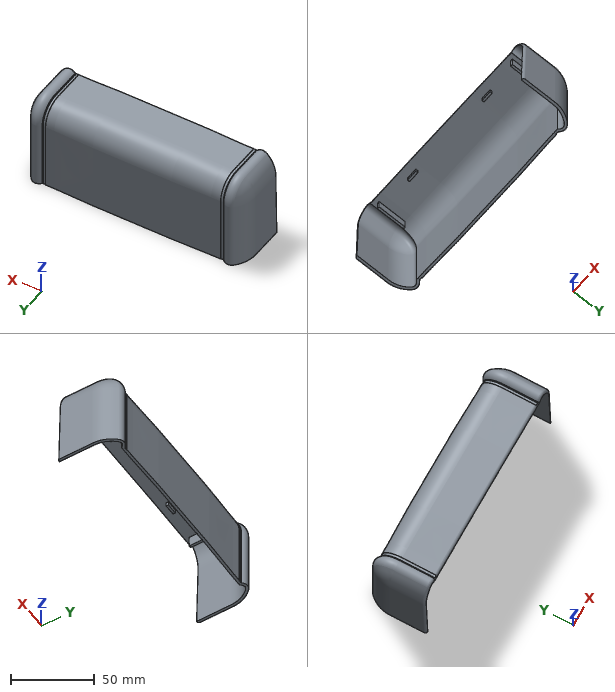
import cadquery as cq
import math

length = 155.1
depth = 41.1
height = 62.4
half = length / 2

bend_radius = 16.1
bend_y = -bend_radius
bend_z = height - bend_radius

wall = 1.9
side_radius = 21.0
lobe_x = 68.1
lobe_angle = math.radians(45)
land_drop = 1.9
land_x = 55.4
centre_drop = 1.2
centre_x = 27.8

rim_lean = 1.4
rim_fillet = 1.5

groove_inner_x = 61.9
groove_outer_x = 63.6
groove_depth = 0.3

rib_x = 61.5
rib_thickness = 1.5
rib_bottom = 50.9
rib_setback = 3.1
tab_x = 34.3
tab_width = 7.6
tab_bottom = 56.3
tab_thickness = 1.5
tab_setback = 6.2

overrun = 7.8


def half_section(inset):
    """Right half of the cross-section in XY, moved inward by inset and closed along the bend axis."""
    side_x = half - side_radius
    run = lobe_x - side_x
    lobe_radius = (side_radius**2 - run**2 - bend_radius**2) / (2 * (side_radius - bend_radius))
    lobe_y = -lobe_radius
    contact = math.atan2(lobe_y - bend_y, run)
    flank_start = math.pi / 2 + lobe_angle

    def on_side(angle):
        radius = side_radius - inset
        return side_x + radius * math.cos(angle), bend_y + radius * math.sin(angle)

    def on_lobe(angle):
        radius = lobe_radius - inset
        return lobe_x + radius * math.cos(angle), lobe_y + radius * math.sin(angle)

    flank_x, flank_y = on_lobe(flank_start)
    land_y = -land_drop - inset
    centre_y = -centre_drop - inset
    land_end = (flank_x - (flank_y - land_y) / math.tan(lobe_angle), land_y)

    return (
        cq.Workplane("XY")
        .moveTo(0, bend_y)
        .lineTo(half - inset, bend_y)
        .threePointArc(on_side(contact / 2), on_side(contact))
        .threePointArc(on_lobe((contact + flank_start) / 2), (flank_x, flank_y))
        .lineTo(*land_end)
        .lineTo(land_x, land_y)
        .spline([(centre_x, centre_y)], tangents=[(-1, 0), (-1, 0)], includeCurrent=True)
        .lineTo(0, centre_y)
        .close()
    )


def groove_section():
    """Trapezoid cut into the flat land beside the right lobe."""
    mouth_y = -land_drop + groove_depth
    floor_y = -land_drop - groove_depth
    slope_run = mouth_y - floor_y
    return (
        cq.Workplane("XY")
        .polyline([
            (groove_inner_x, mouth_y),
            (groove_inner_x, floor_y),
            (groove_outer_x, floor_y),
            (groove_outer_x + slope_run, mouth_y),
        ])
        .close()
    )


def both_sides(right):
    """Join a right-hand solid with its mirror image."""
    return right.union(right.mirror("YZ"))


def sweep_round_bend(section, start_z, end_y):
    """Carry a section up the rear, round the bend and forward along the top."""
    rear_rise = bend_z - start_z
    top_run = bend_y - end_y
    rear = section().extrude(rear_rise).translate((0, 0, start_z))
    bend = section().revolve(90, (0, bend_y), (1, bend_y)).translate((0, 0, bend_z))
    top = section().extrude(top_run).rotate((0, bend_y, 0), (1, bend_y, 0), 90).translate((0, 0, bend_z))
    return rear.union(bend).union(top)


def filled_body(inset, start_z, end_y):
    """Whole body moved inward by inset, filled down to start_z and forward to end_y."""
    skin = sweep_round_bend(lambda: half_section(inset), start_z, end_y)
    core = (
        cq.Workplane("XY", origin=(0, end_y, start_z))
        .box(half - inset, bend_y - end_y, bend_z - start_z, centered=False)
    )
    return both_sides(skin.union(core))


def front_trim():
    """Block in front of the leaning rim plane."""
    top_z = height + overrun
    lean_per_height = rim_lean / height
    return (
        cq.Workplane("YZ")
        .polyline([
            (-depth, 0),
            (-depth + lean_per_height * top_z, top_z),
            (-depth - overrun, top_z),
            (-depth - overrun, 0),
        ])
        .close()
        .extrude(half + overrun, both=True)
    )


def shell():
    """Thin wall, open below and in front, with its front rim rounded outside."""
    outer = filled_body(0, 0, -depth - overrun).cut(front_trim())
    outer = outer.faces("<Y").edges("not <Z").fillet(rim_fillet)
    cavity = filled_body(wall, -overrun, -depth - overrun)
    return outer.cut(cavity)


def hanging_plate(plate_x, width, bottom, setback, end_y):
    """Mirrored pair of plates rooted in the top wall, running back to end_y from behind the rim."""
    start_y = -depth + rim_lean + setback
    plate_top = height - land_drop - wall / 2
    plate = (
        cq.Workplane("XY", origin=(plate_x, start_y, bottom))
        .box(width, end_y - start_y, plate_top - bottom, centered=(True, False, False))
    )
    return both_sides(plate)


grooves = both_sides(sweep_round_bend(groove_section, -overrun, -depth - overrun))
ribs = hanging_plate(rib_x, rib_thickness, rib_bottom, rib_setback, bend_y)
tab_back = -depth + rim_lean + tab_setback + tab_thickness
tabs = hanging_plate(tab_x, tab_width, tab_bottom, tab_setback, tab_back)

result = shell().cut(grooves).union(ribs).union(tabs)